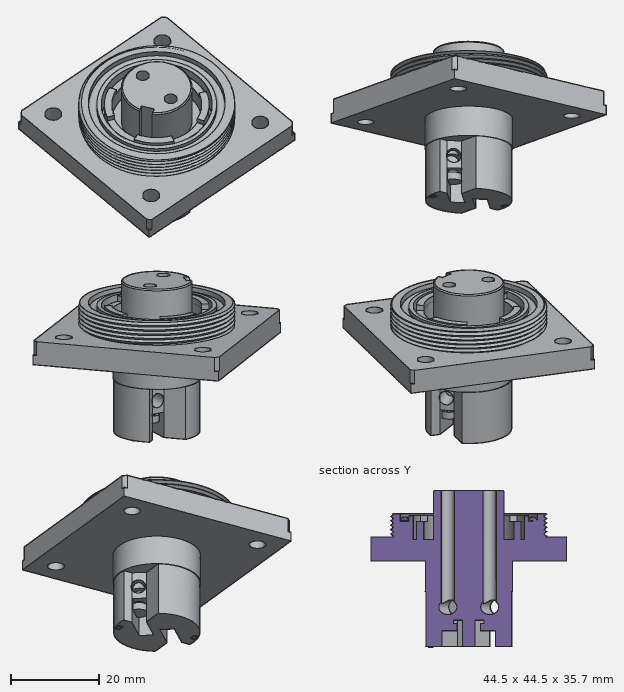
import math

import cadquery as cq

PLATE_SIZE = 44.45
PLATE_THICKNESS = 5.5
CORNER_CHAMFER = 0.85
CORNER_CHAMFER_HEIGHT = 3.25
MOUNT_HOLE_SPACING = 33.3
MOUNT_HOLE_DIAMETER = 3.8

COLLAR_HEIGHT = 5.3
COLLAR_TOP = PLATE_THICKNESS + COLLAR_HEIGHT
THREAD_RADIUS = 17.75
THREAD_DEPTH = 0.65
THREAD_PITCH = 1.0
THREAD_TURN_GAP = 0.02
THREAD_OVERLAP = 0.03
THREAD_ROOT_RADIUS = THREAD_RADIUS - THREAD_DEPTH
COLLAR_EMBED = 0.5
THREAD_FOOT_RADIUS = THREAD_ROOT_RADIUS - THREAD_OVERLAP
CREST_DROP_AT_MINUS_X = 0.63

GROOVE_OUTER_RADIUS = 15.55
GROOVE_INNER_RADIUS = 13.6
GROOVE_DEPTH = 1.75
RIM_DROP = 0.5

RIM_INNER_RADIUS = 12.6
LEDGE_OUTER_RADIUS = 11.9
LEDGE_INNER_RADIUS = 10.2
LEDGE_DEPTH = 1.8
POCKET_DEPTH = 5.9
POCKET_FLOOR = COLLAR_TOP - POCKET_DEPTH
LEDGE_TOP = COLLAR_TOP - LEDGE_DEPTH
RIM_TOP = COLLAR_TOP - RIM_DROP
LUG_COUNT = 4
LUG_SPAN = 45.0

BARREL_RADIUS = 8.05
BARREL_RISE = 5.28
BARREL_TOP = COLLAR_TOP + BARREL_RISE
BARREL_CHAMFER = 0.3
KEY_ANGLE = -60.0
KEY_WIDTH = 3.0
KEY_FLOOR_RADIUS = 6.5
CONTACT_OFFSET = 4.75
CONTACT_HOLE_DIAMETER = 2.9

SKIRT_RADIUS = 9.95
BODY_RADIUS = 9.8
SKIRT_LENGTH = 6.95
TERMINAL_LENGTH = 12.5
SKIRT_END = -SKIRT_LENGTH
BODY_END = SKIRT_END - TERMINAL_LENGTH
PAD_HEIGHT = 0.16
PAD_WIDTH = 1.0
PAD_LENGTH = 1.65
PAD_X = 8.6
PAD_Y = 2.3

NOTCH_X = -4.8
NOTCH_Y = -1.5
BLOCK_FACE_OFFSET = 2.8
SLOT_ANGLE = 45.0
SLOT_LENGTH = 7.0
WIRE_HOLE_LENGTH = 5.6
BLOCK_HEIGHT = 6.5
WIRE_ANGLE = 56.0
WIRE_HOLE_DIAMETER = 3.3
WIRE_HOLE_DROP = 3.5
SCREW_HEAD_RADIUS = 2.1
SCREW_HEAD_HEIGHT = 1.7
SCREW_NECK_RADIUS = 1.3
SCREW_NECK_LENGTH = 0.7


def cylinder(radius, bottom, top, x=0.0):
    return cq.Workplane("XY", origin=(x, 0, bottom)).circle(radius).extrude(top - bottom)


def turn(shape, angle):
    """Rotate a shape about the connector axis."""
    return shape.rotate((0, 0, 0), (0, 0, 1), angle)


def make_plate():
    plate = cq.Workplane("XY").rect(PLATE_SIZE, PLATE_SIZE).extrude(PLATE_THICKNESS - CORNER_CHAMFER_HEIGHT)
    upper = (
        cq.Workplane("XY", origin=(0, 0, PLATE_THICKNESS - CORNER_CHAMFER_HEIGHT))
        .rect(PLATE_SIZE, PLATE_SIZE)
        .extrude(CORNER_CHAMFER_HEIGHT)
        .edges("|Z")
        .chamfer(CORNER_CHAMFER)
    )
    holes = (
        cq.Workplane("XY")
        .rect(MOUNT_HOLE_SPACING, MOUNT_HOLE_SPACING, forConstruction=True)
        .vertices()
        .circle(MOUNT_HOLE_DIAMETER / 2)
        .extrude(PLATE_THICKNESS)
    )
    return plate.union(upper).cut(holes)


def make_collar():
    """Plain collar wrapped with one right-hand V thread, trimmed flush and set into the plate."""
    bottom = PLATE_THICKNESS - COLLAR_EMBED
    core = cylinder(THREAD_ROOT_RADIUS, bottom, COLLAR_TOP)
    turns_below = math.ceil((COLLAR_HEIGHT + COLLAR_EMBED) / THREAD_PITCH) + 1
    start = COLLAR_TOP - CREST_DROP_AT_MINUS_X - THREAD_PITCH / 2 - turns_below * THREAD_PITCH
    path_height = (turns_below + 2) * THREAD_PITCH
    path = cq.Wire.makeHelix(THREAD_PITCH, path_height, THREAD_ROOT_RADIUS, center=cq.Vector(0, 0, start))
    half_width = (THREAD_PITCH - THREAD_TURN_GAP) / 2
    ridge = (
        cq.Workplane("XZ")
        .moveTo(THREAD_FOOT_RADIUS, start - half_width)
        .lineTo(THREAD_RADIUS, start)
        .lineTo(THREAD_FOOT_RADIUS, start + half_width)
        .close()
        .sweep(cq.Workplane(path), isFrenet=True)
    )
    envelope = cylinder(THREAD_RADIUS + THREAD_DEPTH, bottom, COLLAR_TOP)
    return core.union(ridge.intersect(envelope))


def make_seal_groove():
    """Ring cut with straight walls whose floor bulges up as the half-round seal."""
    seal_radius = (GROOVE_OUTER_RADIUS - GROOVE_INNER_RADIUS) / 2
    middle = (GROOVE_OUTER_RADIUS + GROOVE_INNER_RADIUS) / 2
    floor = COLLAR_TOP - GROOVE_DEPTH
    return (
        cq.Workplane("XZ")
        .moveTo(GROOVE_INNER_RADIUS, COLLAR_TOP)
        .lineTo(GROOVE_INNER_RADIUS, floor)
        .threePointArc((middle, floor + seal_radius), (GROOVE_OUTER_RADIUS, floor))
        .lineTo(GROOVE_OUTER_RADIUS, COLLAR_TOP)
        .close()
        .revolve(360, (0, 0, 0), (0, 1, 0))
    )


def make_pocket():
    """Everything removed inside the groove: lowered rim, ring slot, ledge and deep well."""
    return (
        cq.Workplane("XZ")
        .moveTo(0, COLLAR_TOP)
        .lineTo(GROOVE_INNER_RADIUS, COLLAR_TOP)
        .lineTo(GROOVE_INNER_RADIUS, RIM_TOP)
        .lineTo(RIM_INNER_RADIUS, RIM_TOP)
        .lineTo(RIM_INNER_RADIUS, POCKET_FLOOR)
        .lineTo(LEDGE_OUTER_RADIUS, POCKET_FLOOR)
        .lineTo(LEDGE_OUTER_RADIUS, LEDGE_TOP)
        .lineTo(LEDGE_INNER_RADIUS, LEDGE_TOP)
        .lineTo(LEDGE_INNER_RADIUS, POCKET_FLOOR)
        .lineTo(0, POCKET_FLOOR)
        .close()
        .revolve(360, (0, 0, 0), (0, 1, 0))
    )


def make_lugs():
    """Ring segments standing on the ledge and level with the rim, centred on the plate diagonals."""
    lugs = None
    for index in range(LUG_COUNT):
        lug = (
            cq.Workplane("XZ")
            .moveTo(LEDGE_INNER_RADIUS, LEDGE_TOP)
            .lineTo(LEDGE_OUTER_RADIUS, LEDGE_TOP)
            .lineTo(LEDGE_OUTER_RADIUS, RIM_TOP)
            .lineTo(LEDGE_INNER_RADIUS, RIM_TOP)
            .close()
            .revolve(LUG_SPAN, (0, 0, 0), (0, 1, 0))
        )
        start_angle = (index + 0.5) * 360 / LUG_COUNT - LUG_SPAN / 2
        lug = turn(lug, start_angle)
        lugs = lug if lugs is None else lugs.union(lug)
    return lugs


def make_barrel():
    barrel = cylinder(BARREL_RADIUS, POCKET_FLOOR, BARREL_TOP).faces(">Z").chamfer(BARREL_CHAMFER)
    key_depth = BARREL_RADIUS - KEY_FLOOR_RADIUS
    keyway = (
        cq.Workplane("XY", origin=(BARREL_RADIUS, 0, POCKET_FLOOR))
        .rect(2 * key_depth, KEY_WIDTH)
        .extrude(BARREL_TOP - POCKET_FLOOR)
    )
    return barrel.cut(turn(keyway, KEY_ANGLE))


def make_rear_body():
    body = cylinder(SKIRT_RADIUS, SKIRT_END, 0).union(cylinder(BODY_RADIUS, BODY_END, SKIRT_END))
    for side in (1, -1):
        pad = (
            cq.Workplane("XY", origin=(-side * PAD_X, side * PAD_Y, BODY_END - PAD_HEIGHT))
            .rect(PAD_WIDTH, PAD_LENGTH)
            .extrude(PAD_HEIGHT)
        )
        body = body.union(pad)
    return body


def make_terminal_cut():
    """Corner notch, screw slot, wire hole and contact bore on the -X side."""
    angle = math.radians(WIRE_ANGLE)
    face_x = -CONTACT_OFFSET - BLOCK_FACE_OFFSET * math.cos(angle)
    face_y = -BLOCK_FACE_OFFSET * math.sin(angle)
    left_corner_x = face_x - (NOTCH_Y - face_y) * math.tan(angle)
    lower_corner_y = face_y - (NOTCH_X - face_x) / math.tan(angle)
    notch = (
        cq.Workplane("XY", origin=(0, 0, BODY_END))
        .moveTo(-BODY_RADIUS, NOTCH_Y)
        .lineTo(left_corner_x, NOTCH_Y)
        .lineTo(NOTCH_X, lower_corner_y)
        .lineTo(NOTCH_X, -BODY_RADIUS)
        .lineTo(-BODY_RADIUS, -BODY_RADIUS)
        .close()
        .extrude(TERMINAL_LENGTH)
    )
    slot_run_x = SLOT_LENGTH * math.cos(math.radians(SLOT_ANGLE))
    slot_run_y = SLOT_LENGTH * math.sin(math.radians(SLOT_ANGLE))
    slot = (
        cq.Workplane("XY", origin=(0, 0, BODY_END))
        .moveTo(left_corner_x, NOTCH_Y)
        .lineTo(NOTCH_X, lower_corner_y)
        .lineTo(NOTCH_X + slot_run_x, lower_corner_y + slot_run_y)
        .lineTo(left_corner_x + slot_run_x, NOTCH_Y + slot_run_y)
        .close()
        .extrude(TERMINAL_LENGTH - BLOCK_HEIGHT)
    )
    wire_hole_z = SKIRT_END - WIRE_HOLE_DROP
    wire_hole = (
        cq.Workplane("YZ", origin=(-BLOCK_FACE_OFFSET, 0, wire_hole_z))
        .circle(WIRE_HOLE_DIAMETER / 2)
        .extrude(WIRE_HOLE_LENGTH)
    )
    wire_hole = turn(wire_hole, WIRE_ANGLE).translate((-CONTACT_OFFSET, 0, 0))
    contact_bore = cylinder(CONTACT_HOLE_DIAMETER / 2, wire_hole_z, BARREL_TOP, -CONTACT_OFFSET)
    return notch.union(slot).union(wire_hole).union(contact_bore)


def make_terminal_screw():
    """Clamping screw hanging under the terminal block, in line with the contact."""
    neck_top = SKIRT_END - BLOCK_HEIGHT
    head_top = neck_top - SCREW_NECK_LENGTH
    neck = cylinder(SCREW_NECK_RADIUS, head_top, neck_top, -CONTACT_OFFSET)
    head = cylinder(SCREW_HEAD_RADIUS, head_top - SCREW_HEAD_HEIGHT, head_top, -CONTACT_OFFSET)
    return neck.union(head)


result = make_plate().union(make_collar()).cut(make_seal_groove()).cut(make_pocket())
result = result.union(make_lugs()).union(make_barrel()).union(make_rear_body())
for half_turn in (0, 180):
    result = result.cut(turn(make_terminal_cut(), half_turn))
    result = result.union(turn(make_terminal_screw(), half_turn))